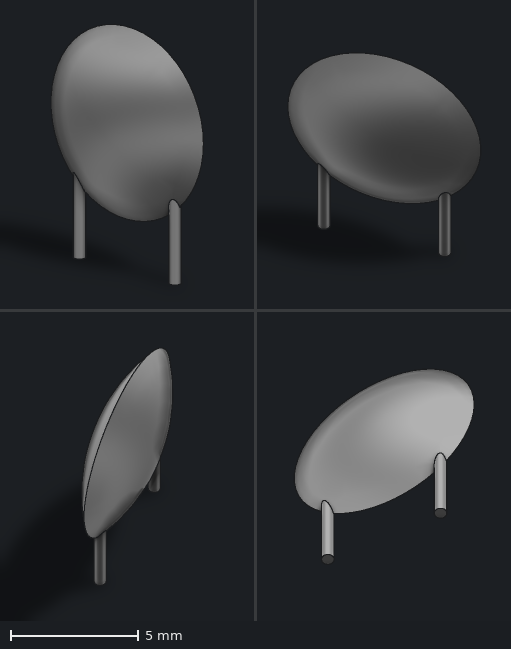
import cadquery as cq

total_height = 10.1
disc_diameter = 8.0
disc_thickness = 2.5
lead_diameter = 0.5
lead_spacing = 5.0

disc_radius = disc_diameter / 2
half_thickness = disc_thickness / 2
disc_centre_height = total_height - disc_radius
sphere_radius = (disc_radius**2 + half_thickness**2) / (2 * half_thickness)
sphere_offset = sphere_radius - half_thickness


def face_point(side):
    """Point halfway out along the spherical face on the given Y side."""
    x = disc_radius / 2
    y = (sphere_radius**2 - x**2) ** 0.5 - sphere_offset
    return (x, side * y)


def lens_body():
    """Biconvex disc with a sharp rim, revolved about the Y direction."""
    profile = (
        cq.Workplane("XY")
        .moveTo(0, -half_thickness)
        .lineTo(0, half_thickness)
        .threePointArc(face_point(1), (disc_radius, 0))
        .threePointArc(face_point(-1), (0, -half_thickness))
        .close()
    )
    disc = profile.revolve(360, (0, 0, 0), (0, 1, 0))
    return disc.translate((0, 0, disc_centre_height))


def lead(x):
    """Straight round lead that ends inside the disc, level with its centre."""
    pin = cq.Workplane("XY").circle(lead_diameter / 2).extrude(disc_centre_height)
    return pin.rotate((0, 0, 0), (0, 0, 1), 90).translate((x, 0, 0))


result = lens_body()
for side in (-1, 1):
    result = result.union(lead(side * lead_spacing / 2))